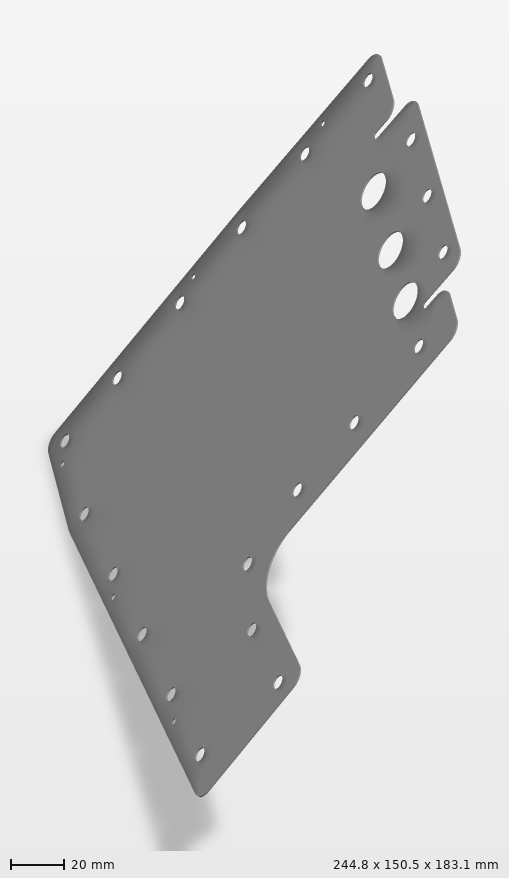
import cadquery as cq

thickness = 0.6
lean = 51.4
twist = 8.5
plate_centre_y = -7.3

left_top = (-122.7, 108.2)
left_kink = (-123.6, 19.3)
bottom_left = (-121.5, -102.8)
bottom_kink = (-69.0, -105.3)
arm_bottom = (124.0, -86.0)
arm_top = (122.2, -19.0)
inner_corner = (49.0, -26.5)
right_top = (49.0, 103.5)

top_slope = -0.028
tab_rise = 11.0
slot_width = 3.5
slot_depth = 14.2
left_slot_x = -83.5
right_slot_x = 20.0
slot_floor_radius = 0.45 * slot_width

corner_radius = 6.0
inner_radius = 19.5

bolt_hole_diameter = 5.6
left_bolts = [
    (-113.4, 98.7),
    (-114.0, 58.8),
    (-114.5, 18.9),
    (-113.5, -20.5),
    (-113.0, -60.5),
    (-112.5, -93.8),
]
right_bolts = [(34.8, 82.3), (34.8, 41.4), (34.8, 5.5)]
arm_bolts = [(41.5, -28.5), (74.0, -36.2), (112.0, -32.0)]
tab_row_start = (-63.5, 109.5)
tab_row_end = (5.1, 107.5)
tab_row_count = 3
bottom_row_start = (-69.0, -95.7)
bottom_row_end = (102.8, -78.5)
bottom_row_count = 5

window_diameter = 15.2
windows = [(-60.0, 84.7), (-24.0, 83.7), (6.9, 83.0)]
pin_hole_diameter = 2.5
pin_holes = [(-118.0, 71.5), (-118.0, -10.5), (-103.3, -98.5), (-15.7, -95.0), (73.7, -85.7)]


def row(start, end, count):
    """Evenly spaced points on the straight line from start to end."""
    step_x = (end[0] - start[0]) / (count - 1)
    step_y = (end[1] - start[1]) / (count - 1)
    return [(start[0] + i * step_x, start[1] + i * step_y) for i in range(count)]


def along_top(start, run, rise=0.0):
    """The point a given run along the top-edge direction and a given rise square to it."""
    return (start[0] + run - rise * top_slope, start[1] + run * top_slope + rise)


def slot_corners(land_corner, slot_x, left_rise, right_rise):
    """Left mouth, left floor, right floor and right mouth of a slot, from the corner of its side land."""
    run = slot_x - land_corner[0]
    left_run = run - slot_width / 2
    right_run = run + slot_width / 2
    return [
        along_top(land_corner, left_run, left_rise),
        along_top(land_corner, left_run, -slot_depth),
        along_top(land_corner, right_run, -slot_depth),
        along_top(land_corner, right_run, right_rise),
    ]


def round_corners(body, corners, radius):
    """Round the upright plate edges that stand on the given outline corners."""
    for x, y in corners:
        nearest = cq.selectors.NearestToPointSelector((x, y, 0))
        body = body.edges("|Z").edges(nearest).fillet(radius)
    return body


def make_blank():
    left_slot = slot_corners(left_top, left_slot_x, 0, tab_rise)
    right_slot = slot_corners(right_top, right_slot_x, tab_rise, 0)
    outline = [left_top, *left_slot, *right_slot, right_top, inner_corner, arm_top, arm_bottom]
    outline += [bottom_kink, bottom_left, left_kink]
    blank = cq.Workplane("XY").polyline(outline).close().extrude(thickness / 2, both=True)

    mouths = [left_slot[0], left_slot[3], right_slot[0], right_slot[3]]
    outer = [left_top, right_top, arm_top, arm_bottom, bottom_left]
    floors = left_slot[1:3] + right_slot[1:3]
    blank = round_corners(blank, mouths + outer, corner_radius)
    blank = round_corners(blank, floors, slot_floor_radius)
    return round_corners(blank, [inner_corner], inner_radius)


def drill(body, points, diameter):
    """Round holes right through the plate."""
    holes = cq.Workplane("XY").pushPoints(points).circle(diameter / 2).extrude(thickness, both=True)
    return body.cut(holes)


tab_bolts = row(tab_row_start, tab_row_end, tab_row_count)
bottom_bolts = row(bottom_row_start, bottom_row_end, bottom_row_count)

plate = make_blank()
plate = drill(plate, left_bolts + right_bolts + arm_bolts + tab_bolts + bottom_bolts, bolt_hole_diameter)
plate = drill(plate, windows, window_diameter)
plate = drill(plate, pin_holes, pin_hole_diameter)

plate = plate.rotate((0, 0, 0), (0, 1, 0), -twist).rotate((0, 0, 0), (1, 0, 0), lean)
result = plate.translate((0, plate_centre_y, 0))